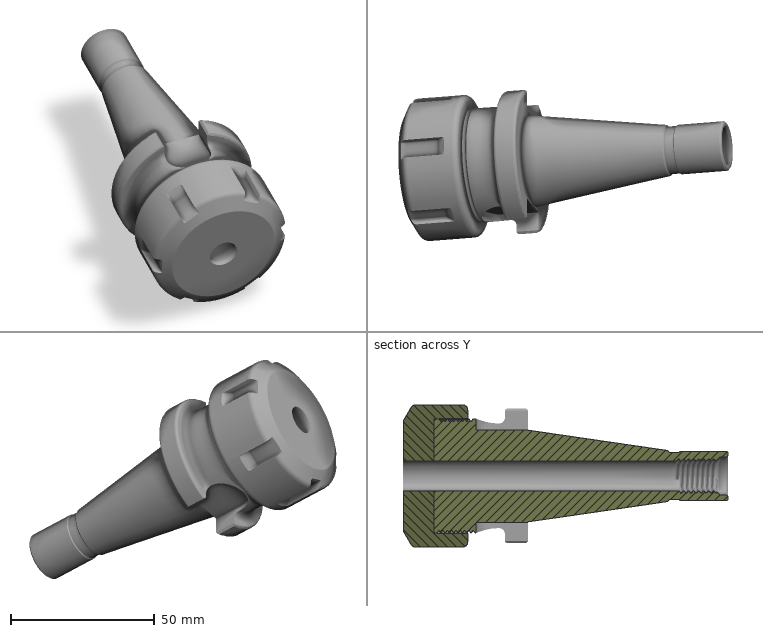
import cadquery as cq
import math

TAIL_END_X = 17.3
RELIEF_END_X = 20.6
TAPER_START_X = 21.2
GAUGE_X = 68.4
COLLAR_X = 69.0
FLANGE_X = 70.0
FLANGE_WIDTH = 8.0
FLANGE_BACK_X = FLANGE_X + FLANGE_WIDTH

TAIL_RADIUS = 8.7
TAIL_CHAMFER = 0.6
TAIL_STEP = 0.35
RELIEF_RADIUS = TAIL_RADIUS - TAIL_STEP
GAUGE_RADIUS = 31.75 / 2
TAPER_SLOPE = 7 / 24 / 2
COLLAR_BEVEL = 0.5
COLLAR_RADIUS = 16.0
FLANGE_RADIUS = 25.1
FLANGE_EDGE = 1.0
NECK_RADIUS = 20.0
NECK_FILLET = 2.0

BORE_RADIUS = 5.1
MOUTH_RADIUS = 6.5
MOUTH_DEPTH = 3.0
MOUTH_CHAMFER = 0.7
BORE_THREAD_PITCH = 1.75
BORE_THREAD_DEPTH = 0.9
BORE_THREAD_WIDTH = 1.5
BORE_THREAD_START_X = 3.9
BORE_THREAD_LENGTH = 14.0
BORE_THREAD_START_ANGLE = 285.0

SLOT_WIDTH = 16.1
SLOT_FLOOR_Z = 16.25
SLOT_END_X = 88.15
SLOT_EDGE_CHAMFER = 1.0

THREAD_PITCH = 1.5
THREAD_DEPTH = 0.92
THREAD_WIDTH = 1.3
THREAD_START_X = 88.7
THREAD_START_ANGLE = 240.0

NUT_X = 91.0
NUT_END_X = 113.68
NUT_RADIUS = 25.0
NUT_BACK_FILLET = 2.0
NUT_FRONT_FILLET = 2.0
NUT_CONE_ANGLE = 60.0
NUT_CONE_START_X = 110.95
NUT_FACE_FILLET = 0.5
STUB_LENGTH = 12.0
STUB_END_X = NUT_X + STUB_LENGTH

WRENCH_SLOTS = 6
WRENCH_FLOOR_RADIUS = 22.3
WRENCH_WIDTH = 6.4
WRENCH_FILLET = 0.5
WRENCH_RUNOUT = 3.1
WRENCH_START_X = 97.9
WRENCH_LONG_START_X = WRENCH_START_X - 2.2


def taper_radius(x):
    return GAUGE_RADIUS + (x - GAUGE_X) * TAPER_SLOPE


def revolve_about_x(profile):
    return profile.close().revolve(360, (0, 0, 0), (1, 0, 0))


def make_holder_blank():
    flange_rim_back = FLANGE_RADIUS - FLANGE_EDGE
    profile = (
        cq.Workplane("XZ")
        .moveTo(0, 0)
        .lineTo(0, TAIL_RADIUS - TAIL_CHAMFER)
        .lineTo(TAIL_CHAMFER, TAIL_RADIUS)
        .lineTo(TAIL_END_X - TAIL_STEP, TAIL_RADIUS)
        .lineTo(TAIL_END_X, RELIEF_RADIUS)
        .lineTo(RELIEF_END_X, RELIEF_RADIUS)
        .lineTo(TAPER_START_X, taper_radius(TAPER_START_X))
        .lineTo(COLLAR_X, taper_radius(COLLAR_X))
        .lineTo(COLLAR_X + COLLAR_BEVEL, COLLAR_RADIUS)
        .lineTo(FLANGE_X, COLLAR_RADIUS)
        .lineTo(FLANGE_X, flange_rim_back)
        .radiusArc((FLANGE_X + FLANGE_EDGE, FLANGE_RADIUS), FLANGE_EDGE)
        .lineTo(FLANGE_BACK_X - FLANGE_EDGE, FLANGE_RADIUS)
        .radiusArc((FLANGE_BACK_X, flange_rim_back), FLANGE_EDGE)
        .lineTo(FLANGE_BACK_X, NECK_RADIUS + NECK_FILLET)
        .radiusArc((FLANGE_BACK_X + NECK_FILLET, NECK_RADIUS), -NECK_FILLET)
        .lineTo(STUB_END_X, NECK_RADIUS)
        .lineTo(STUB_END_X, 0)
    )
    return revolve_about_x(profile)


def make_holder_bore():
    profile = (
        cq.Workplane("XZ")
        .lineTo(0, MOUTH_RADIUS + MOUTH_CHAMFER)
        .lineTo(MOUTH_CHAMFER, MOUTH_RADIUS)
        .lineTo(MOUTH_DEPTH, MOUTH_RADIUS)
        .lineTo(MOUTH_DEPTH + MOUTH_RADIUS - BORE_RADIUS, BORE_RADIUS)
        .lineTo(STUB_END_X, BORE_RADIUS)
        .lineTo(STUB_END_X, 0)
    )
    return revolve_about_x(profile)


def make_drive_slot():
    """Cutter for the +Z drive slot: round-ended pocket with bevelled upper edges in the flange."""
    half_width = SLOT_WIDTH / 2
    arc_centre_x = SLOT_END_X - half_width
    pocket_height = FLANGE_RADIUS - SLOT_FLOOR_Z
    pocket = (
        cq.Workplane("XY", origin=(0, 0, SLOT_FLOOR_Z))
        .moveTo(FLANGE_X, -half_width)
        .lineTo(arc_centre_x, -half_width)
        .threePointArc((SLOT_END_X, 0), (arc_centre_x, half_width))
        .lineTo(FLANGE_X, half_width)
        .close()
        .extrude(pocket_height)
    )
    rim_z = math.sqrt(FLANGE_RADIUS**2 - half_width**2)
    bevel_bottom_z = rim_z - SLOT_EDGE_CHAMFER
    bevel_top_half = half_width + FLANGE_RADIUS - bevel_bottom_z
    bevel = (
        cq.Workplane("YZ", origin=(FLANGE_X, 0, 0))
        .moveTo(-half_width, bevel_bottom_z)
        .lineTo(half_width, bevel_bottom_z)
        .lineTo(bevel_top_half, FLANGE_RADIUS)
        .lineTo(-bevel_top_half, FLANGE_RADIUS)
        .close()
        .extrude(FLANGE_WIDTH)
    )
    return pocket.union(bevel)


def make_helical_groove(pitch, length, root_radius, crest_radius, half_width):
    """V-shaped cutter wound around the X axis from X = 0; half_width is its half width at the crest."""
    overshoot = 0.05 * (crest_radius - root_radius)
    open_half_width = 1.05 * half_width
    path = cq.Wire.makeHelix(pitch, length, crest_radius)
    groove = (
        cq.Workplane("XZ")
        .moveTo(root_radius, 0)
        .lineTo(crest_radius + overshoot, open_half_width)
        .lineTo(crest_radius + overshoot, -open_half_width)
        .close()
        .sweep(cq.Workplane(obj=path), isFrenet=True)
    )
    return groove.rotate((0, 0, 0), (0, 1, 0), 90)


def make_neck_thread():
    length = STUB_END_X - THREAD_START_X - THREAD_PITCH
    root_radius = NECK_RADIUS - THREAD_DEPTH
    groove = make_helical_groove(THREAD_PITCH, length, root_radius, NECK_RADIUS, THREAD_WIDTH / 2)
    return groove.rotate((0, 0, 0), (1, 0, 0), THREAD_START_ANGLE).translate((THREAD_START_X, 0, 0))


def make_bore_thread():
    root_radius = BORE_RADIUS + BORE_THREAD_DEPTH
    groove = make_helical_groove(
        BORE_THREAD_PITCH, BORE_THREAD_LENGTH, root_radius, BORE_RADIUS, BORE_THREAD_WIDTH / 2
    )
    return groove.rotate((0, 0, 0), (1, 0, 0), BORE_THREAD_START_ANGLE).translate((BORE_THREAD_START_X, 0, 0))


def make_holder():
    slot = make_drive_slot()
    opposite_slot = slot.rotate((0, 0, 0), (1, 0, 0), 180)
    holder = make_holder_blank().cut(make_holder_bore())
    holder = holder.cut(make_neck_thread()).cut(make_bore_thread())
    return holder.cut(slot).cut(opposite_slot)


def make_nut_blank():
    cone_angle = math.radians(NUT_CONE_ANGLE)
    round_length = NUT_FRONT_FILLET * math.sin(cone_angle)
    cone_start_radius = NUT_RADIUS - NUT_FRONT_FILLET * (1 - math.cos(cone_angle))
    cone_length = NUT_END_X - NUT_CONE_START_X
    face_radius = cone_start_radius - cone_length * math.tan(cone_angle)
    profile = (
        cq.Workplane("XZ")
        .moveTo(NUT_X, NECK_RADIUS)
        .lineTo(NUT_X, NUT_RADIUS - NUT_BACK_FILLET)
        .radiusArc((NUT_X + NUT_BACK_FILLET, NUT_RADIUS), NUT_BACK_FILLET)
        .lineTo(NUT_CONE_START_X - round_length, NUT_RADIUS)
        .radiusArc((NUT_CONE_START_X, cone_start_radius), NUT_FRONT_FILLET)
        .lineTo(NUT_END_X, face_radius)
        .lineTo(NUT_END_X, BORE_RADIUS)
        .lineTo(STUB_END_X, BORE_RADIUS)
        .lineTo(STUB_END_X, NECK_RADIUS)
    )
    blank = revolve_about_x(profile)
    face_edge = cq.selectors.RadiusNthSelector(1)
    return blank.faces(">X").edges(face_edge).fillet(NUT_FACE_FILLET)


def make_wrench_slot(start_x):
    """Cutter for one wrench slot at +Y: a sloping runout, a flat floor and rounded bottom edges."""
    floor_start_x = start_x + WRENCH_RUNOUT
    side = (
        cq.Workplane("XY", origin=(0, 0, -WRENCH_WIDTH / 2))
        .moveTo(start_x, NUT_RADIUS)
        .lineTo(floor_start_x, WRENCH_FLOOR_RADIUS)
        .lineTo(NUT_END_X, WRENCH_FLOOR_RADIUS)
        .lineTo(NUT_END_X, NUT_RADIUS)
        .close()
        .extrude(WRENCH_WIDTH)
    )
    return side.faces("<X or <Y").edges("not |Z").fillet(WRENCH_FILLET)


def make_nut():
    nut = make_nut_blank()
    for index in range(WRENCH_SLOTS):
        angle = index * 360 / WRENCH_SLOTS
        on_long_side = math.cos(math.radians(angle)) > 0
        start_x = WRENCH_LONG_START_X if on_long_side else WRENCH_START_X
        nut = nut.cut(make_wrench_slot(start_x).rotate((0, 0, 0), (1, 0, 0), angle))
    return nut


holder = make_holder()
nut = make_nut()

result = cq.Compound.makeCompound([holder.val(), nut.val()])